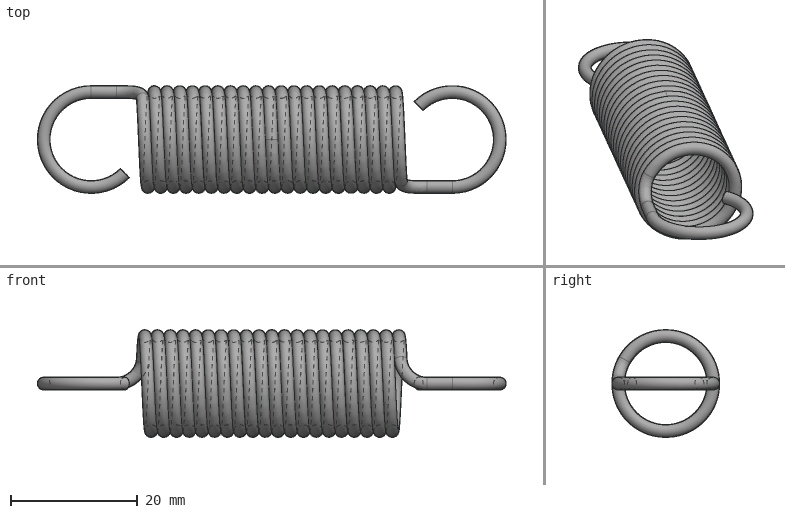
import cadquery as cq
import math


origin = cq.Vector(0, 0, 0)
x_axis = cq.Vector(1, 0, 0)
y_axis = cq.Vector(0, 1, 0)
z_axis = cq.Vector(0, 0, 1)

wire_diameter = 2.0
outer_diameter = 17.0
overall_length = 74.0
pitch = 2.004
full_turns = 20
bend_angle = 30.0
hook_sweep = 225.0

wire_radius = wire_diameter / 2
coil_radius = outer_diameter / 2 - wire_radius
turns = full_turns + (180.0 - 2 * bend_angle) / 360.0
coil_end_x = turns * pitch / 2
helix_angle = math.atan2(pitch, 2 * math.pi * coil_radius)
hook_center_x = overall_length / 2 - wire_radius - coil_radius

bend_turn = math.pi / 2 - helix_angle
bend_radius = coil_radius * math.radians(bend_angle) / (1 - math.cos(bend_turn))
bend_start_x = -coil_end_x - bend_radius * math.sin(bend_turn)
bend_points = 9


def on_coil(x, angle):
    """Point on the wire-centre cylinder; the angle runs from +Y towards +Z."""
    return cq.Vector(x, coil_radius * math.cos(angle), coil_radius * math.sin(angle))


def opposite(point):
    """The point after a half turn about the Z axis."""
    return cq.Vector(-point.x, -point.y, point.z)


def hook_point(angle_degrees):
    """Point on the left hook's centreline; the angle runs from +X towards +Y."""
    angle = math.radians(angle_degrees)
    x = -hook_center_x + coil_radius * math.cos(angle)
    return cq.Vector(x, coil_radius * math.sin(angle), 0)


def bend_point(turn):
    """Point on the left bend after the wire has turned by the given angle."""
    x = bend_start_x + bend_radius * math.sin(turn)
    arc_length = bend_radius * (1 - math.cos(turn))
    return on_coil(x, arc_length / coil_radius)


hook_leg_angle = 90.0
hook_tip = hook_point(hook_leg_angle + hook_sweep)
hook_middle = hook_point(hook_leg_angle + hook_sweep / 2)
leg_start = hook_point(hook_leg_angle)
bend = [bend_point(bend_turn * i / (bend_points - 1)) for i in range(bend_points)]

leg_direction = x_axis
coil_direction = cq.Vector(
    math.sin(helix_angle),
    -math.cos(helix_angle) * math.sin(math.radians(bend_angle)),
    math.cos(helix_angle) * math.cos(math.radians(bend_angle)),
)


def end_edges(place, bend_tangents):
    """Hook arc, straight leg and bend of one end, with each point moved by place."""
    hook = cq.Edge.makeThreePointArc(place(hook_tip), place(hook_middle), place(leg_start))
    leg = cq.Edge.makeLine(place(leg_start), place(bend[0]))
    curve = cq.Edge.makeSpline([place(p) for p in bend], tangents=bend_tangents)
    return [hook, leg, curve]


def coil_half():
    """Right-handed helix along X, from the end of the left bend to the middle of the coil."""
    helix = cq.Wire.makeHelix(pitch, coil_end_x, coil_radius)
    helix = helix.rotate(origin, y_axis, 90)
    helix = helix.rotate(origin, x_axis, 90 + bend_angle)
    return helix.translate(cq.Vector(-coil_end_x, 0, 0))


def make_spring():
    """Sweep the round wire section along the whole centreline."""
    left = end_edges(lambda p: p, [leg_direction, coil_direction])
    right = end_edges(opposite, [opposite(leg_direction), opposite(coil_direction)])
    left_coil = coil_half()
    right_coil = left_coil.rotate(origin, z_axis, 180)
    path = cq.Wire.assembleEdges(left + left_coil.Edges() + right_coil.Edges() + right[::-1])

    tip_direction = hook_tip - cq.Vector(-hook_center_x, 0, 0)
    section_plane = cq.Plane(hook_tip, xDir=tip_direction, normal=tip_direction.cross(z_axis))
    return cq.Workplane(section_plane).circle(wire_radius).sweep(cq.Workplane(path))


result = make_spring()